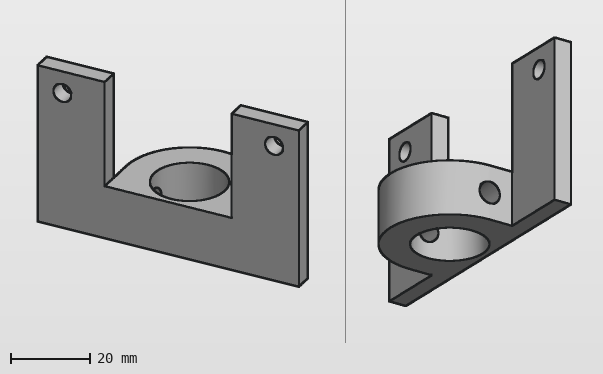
import cadquery as cq

plate_width = 74.0
plate_height = 45.0
plate_thickness = 5.0

boss_width = 36.0
boss_radius = boss_width / 2
boss_depth = 29.75
boss_height = 15.0
boss_center_y = boss_depth - boss_radius
bore_diameter = 20.0
cross_hole_diameter = 6.0

mount_hole_diameter = 5.0
mount_hole_side_inset = 7.0
mount_hole_top_inset = 6.2
mount_hole_x = plate_width / 2 - mount_hole_side_inset
mount_hole_z = plate_height - mount_hole_top_inset


def make_plate():
    """U-shaped plate with one mounting hole in each arm."""
    plate = cq.Workplane("XY").box(
        plate_width, plate_thickness, plate_height, centered=(True, False, False)
    )
    notch = (
        cq.Workplane("XY")
        .workplane(offset=boss_height)
        .box(boss_width, plate_thickness, plate_height - boss_height, centered=(True, False, False))
    )
    holes = (
        cq.Workplane("XZ")
        .pushPoints([(-mount_hole_x, mount_hole_z), (mount_hole_x, mount_hole_z)])
        .circle(mount_hole_diameter / 2)
        .extrude(-plate_thickness)
    )
    return plate.cut(notch).cut(holes)


def make_boss():
    """Block with straight sides and a half-round back."""
    return (
        cq.Workplane("XY")
        .moveTo(-boss_radius, 0)
        .lineTo(boss_radius, 0)
        .lineTo(boss_radius, boss_center_y)
        .threePointArc((0, boss_depth), (-boss_radius, boss_center_y))
        .close()
        .extrude(boss_height)
    )


def make_bore():
    """Vertical bore on the axis of the round back."""
    return cq.Workplane("XY").center(0, boss_center_y).circle(bore_diameter / 2).extrude(boss_height)


def make_cross_hole():
    """Hole along X through both boss walls, crossing the bore at mid-height."""
    return (
        cq.Workplane("YZ")
        .center(boss_center_y, boss_height / 2)
        .circle(cross_hole_diameter / 2)
        .extrude(boss_radius, both=True)
    )


result = make_plate().union(make_boss()).cut(make_bore()).cut(make_cross_hole())